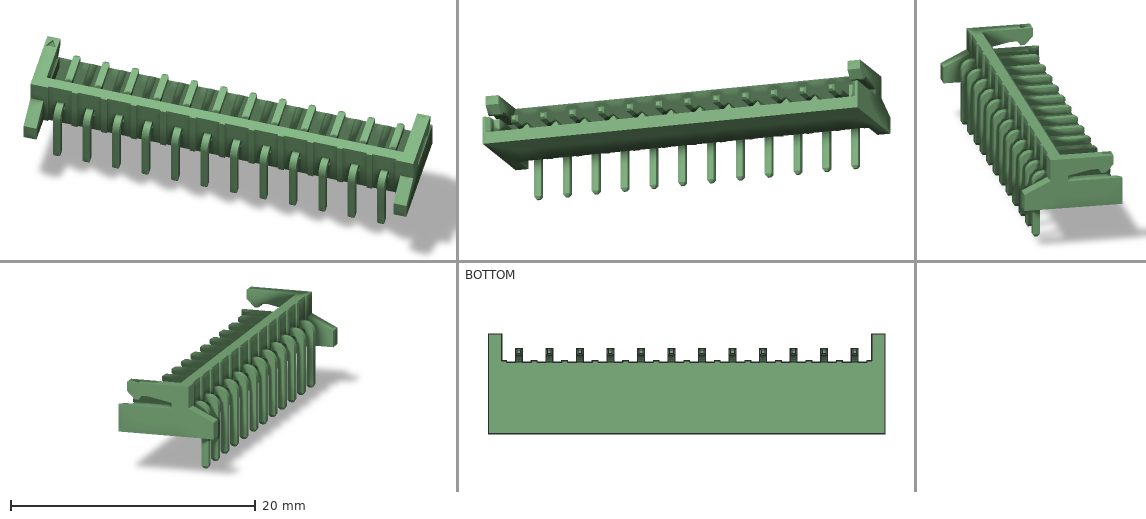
import cadquery as cq

length = 32.5
pin_count = 12
pitch = length / (pin_count + 1)
mating_end = 8.2

housing_height = 4.25
floor_top = 0.98
wall_rear = 2.18
wall_front_at_top = 3.2
wall_front = 3.65
wall_bevel_bottom = 3.65
end_width = 1.1

lug_height = 1.4
lug_root_height = 2.45
rail_height = 2.3
rail_width = 0.55
rail_corner = 0.35
wide_rail_end = 7.15
arm_end = 7.48
arm_nose_height = 3.5
hook_front = 6.8
hook_rear = 6.47
hook_bottom = 2.83
arm_relief_front = 6.18
arm_relief_rear = 5.6
arm_relief_height = 3.2
arm_root_height = 2.8

recess_width = 2.0
recess_depth = 0.13
pocket_size = 0.78
pocket_depth = 0.5

ridge_width = 0.65
ridge_height = 0.5
ridge_end_slope = 0.35

pin_size = 0.6
pin_top = 2.4
pin_bottom = -3.15
pin_front = 7.7
pin_rear = 1.17
bend_inner_radius = 0.32
tip_length = 0.23
tip_size = 0.3

mark_width = 0.8
mark_length = 0.7
mark_base = 6.5
mark_depth = 0.2

pin_places = [pitch * (i + 1) for i in range(pin_count)]
ridge_places = [x + pitch / 2 for x in pin_places[:-1]]
pin_middle_height = pin_top - pin_size / 2


def box(x_size, x_middle, y_start, y_end, z_start, z_end):
    """Box centred on x_middle that spans the given Y and Z ranges."""
    block = cq.Workplane("XY").box(x_size, y_end - y_start, z_end - z_start, centered=(True, False, False))
    return block.translate((x_middle, y_start, z_start))


def extrude_along_x(points, x_start, x_size):
    """Closed Y-Z outline extruded toward +X."""
    return cq.Workplane("YZ").polyline(points).close().extrude(x_size).translate((x_start, 0, 0))


def make_wall_and_floor():
    outline = [
        (wall_rear, 0),
        (mating_end, 0),
        (mating_end, floor_top),
        (wall_front, floor_top),
        (wall_front, wall_bevel_bottom),
        (wall_front_at_top, housing_height),
        (wall_rear, housing_height),
    ]
    return extrude_along_x(outline, 0, length)


def make_end(x_start):
    """Full-width part of one end: rear lug, wide stretch of the rail and latch arm."""
    base = [
        (0, 0),
        (wide_rail_end, 0),
        (wide_rail_end, rail_height),
        (wall_front, rail_height),
        (wall_front, lug_root_height),
        (wall_rear, lug_root_height),
        (0, lug_height),
    ]
    arm = [
        (wall_rear, rail_height),
        (wall_front, rail_height),
        (wall_front, arm_root_height),
        (arm_relief_rear, arm_relief_height),
        (arm_relief_front, arm_relief_height),
        (hook_rear, hook_bottom),
        (hook_front, hook_bottom),
        (arm_end, arm_nose_height),
        (arm_end, housing_height),
        (wall_rear, housing_height),
    ]
    return extrude_along_x(base, x_start, end_width).union(extrude_along_x(arm, x_start, end_width))


def make_rail(x_middle, inner_side):
    """Narrow side rail with its inner corner bevelled at the mating end."""
    rail = box(rail_width, x_middle, wall_rear, mating_end, 0, rail_height)
    return rail.edges("|Z and >Y and " + inner_side).chamfer(rail_corner)


def make_ridge(x_middle):
    """Triangular ridge on the floor whose mating end slopes down to the floor."""
    half_width = ridge_width / 2
    section = [(-half_width, 0), (half_width, 0), (0, ridge_height)]
    ridge_length = mating_end - wall_rear
    ridge = cq.Workplane("XZ").polyline(section).close().extrude(-ridge_length)
    ridge = ridge.translate((x_middle, wall_rear, floor_top))
    end_cut = extrude_along_x(
        [
            (mating_end, floor_top),
            (mating_end, floor_top + ridge_height),
            (mating_end - ridge_end_slope, floor_top + ridge_height),
        ],
        x_middle - half_width,
        ridge_width,
    )
    return ridge.cut(end_cut)


def make_tip(direction, origin):
    """Tapered square pin end starting at origin and pointing along direction."""
    start = cq.Workplane(cq.Plane(origin=origin, xDir=(1, 0, 0), normal=direction)).rect(pin_size, pin_size)
    return start.workplane(offset=tip_length).rect(tip_size, tip_size).loft(ruled=True)


def make_pin(x_middle):
    """Square pin bent down through 90 degrees, tapered at both ends."""
    leg_middle = pin_rear + pin_size / 2
    bend_radius = bend_inner_radius + pin_size / 2
    front = pin_front - tip_length
    bottom = pin_bottom + tip_length
    bend_front = leg_middle + bend_radius
    bend_bottom = pin_middle_height - bend_radius
    blade = box(pin_size, x_middle, bend_front, front, pin_top - pin_size, pin_top)
    leg = box(pin_size, x_middle, pin_rear, pin_rear + pin_size, bottom, bend_bottom)
    bend = (
        cq.Workplane("XY", origin=(x_middle, leg_middle, bend_bottom))
        .rect(pin_size, pin_size)
        .revolve(90, (0.32, bend_radius, 0), (-0.32, bend_radius, 0))
    )
    blade_tip = make_tip((0, 1, 0), (x_middle, front, pin_middle_height))
    leg_tip = make_tip((0, 0, -1), (x_middle, leg_middle, bottom))
    return blade.union(bend).union(leg).union(blade_tip).union(leg_tip)


def make_pin_1_mark():
    half_width = mark_width / 2
    corners = [(-half_width, 0), (half_width, 0), (0, mark_length)]
    mark = cq.Workplane("XY").polyline(corners).close().extrude(mark_depth)
    return mark.translate((end_width / 2, mark_base, housing_height - mark_depth))


def cut_rear_recess(housing, x_middle):
    """Shallow full-height recess around a pin with a deeper square pocket where the pin leaves."""
    recess_floor = wall_rear + recess_depth
    recess = box(recess_width, x_middle, wall_rear, recess_floor, 0, housing_height)
    pocket = box(
        pocket_size,
        x_middle,
        wall_rear,
        recess_floor + pocket_depth,
        pin_middle_height - pocket_size / 2,
        pin_middle_height + pocket_size / 2,
    )
    return housing.cut(recess).cut(pocket)


result = make_wall_and_floor()
result = result.union(make_end(0)).union(make_end(length - end_width))
result = result.union(make_rail(rail_width / 2, ">X"))
result = result.union(make_rail(length - rail_width / 2, "<X"))

for ridge_x in ridge_places:
    result = result.union(make_ridge(ridge_x))

for pin_x in pin_places:
    result = cut_rear_recess(result, pin_x)

for pin_x in pin_places:
    result = result.union(make_pin(pin_x))

result = result.cut(make_pin_1_mark())